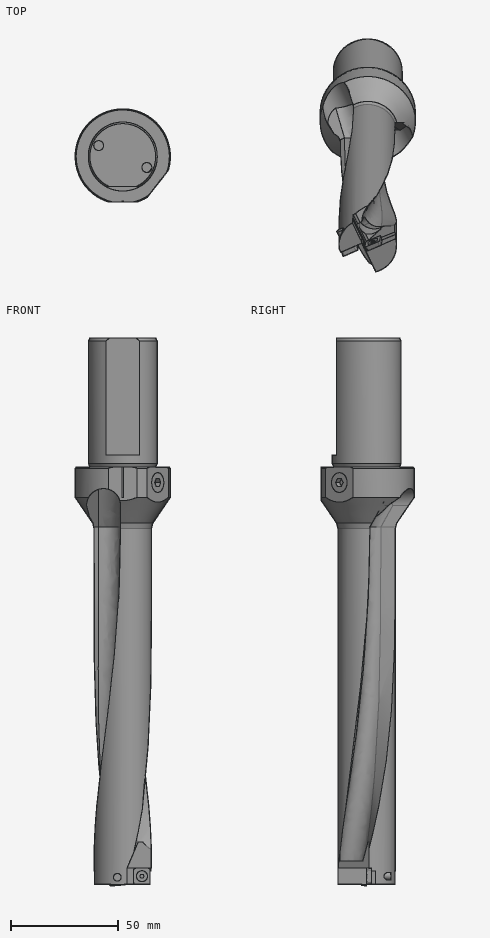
import cadquery as cq
import math


total_length = 255.0
shank_radius = 16.0
shank_chamfer_drop = 1.5
shank_chamfer_in = 0.8
shank_bottom_z = 196.7
shank_flat_y = -14.0
shank_flat_bottom_z = 200.5
undercut_radius = 15.3

collar_radius = 22.2
collar_top_z = 195.0
collar_edge_chamfer = 0.5
cone_top_z = 181.0
cone_bottom_z = 169.0
cone_bottom_radius = 14.0
neck_z = 166.3
marked_flat_distance = 21.2
mark_width = 0.8
mark_depth = 0.5
plug_flat_distance = 20.7
plug_angle = -38.0

coolant_radius = 2.3
coolant_x = 11.2
coolant_y = -5.0
coolant_bottom_z = 187.8

drill_diameter = 26.8
drill_radius = drill_diameter / 2
drill_bottom_z = 0.8
flute_top_z = 167.0
flute_bottom_z = 11.7
flute_total_twist = 87.0
flute_wall_offset = 1.0
flute_lip_offset = 1.5
flute_lip_thickening = 3.8
flute_trough_radius = 6.5
flute_trough_y = -6.6
flute_sections = 13
reach = 23.0

runout_radius = 8.0
runout_arch_z = 177.0
runout_rise_angle = 61.0
runout_foot_x = -14.3

insert_size = 7.7
insert_thickness = 2.3
insert_corner_radius = 0.8
insert_clearance_angle = 7.0
outer_insert_x = 9.0
outer_insert_z = drill_bottom_z + insert_size / 2
outer_insert_tilt = 0.0
inner_insert_x = 2.5
inner_insert_tilt = 5.0
inner_tilt_radians = math.radians(inner_insert_tilt)
inner_insert_z = insert_corner_radius + (insert_size / 2 - insert_corner_radius) * (
    math.cos(inner_tilt_radians) + math.sin(inner_tilt_radians)
)
inner_pocket_wall_x = inner_insert_x - insert_size / 2
inner_pocket_top_z = 22.2
inner_pocket_side_y = -8.5
inner_pocket_corner = 5.0
inner_pocket_fillet = 7.7
chip_space_foot_x = 0.0
chip_space_rim_x = 6.5
chip_space_rim_z = 20.5
outer_pocket_wall_x = 2.0
outer_pocket_shoulder_z = drill_bottom_z + insert_size
outer_pocket_top_x = 7.1
outer_pocket_top_z = 20.5
pocket_step_y = 1.0
recess_depth = 0.5
recess_y = -0.8
recess_top_z = 7.0
edge_relief_x = 12.8
edge_relief_top_z = 7.0
screw_radius = 1.8
screw_head_radius = 2.5
screw_head_height = 1.5
screw_socket_width = 2.0
screw_socket_depth = 0.8
screw_length = 11.2

plug_radius = 4.5
plug_length = 6.6
plug_z = 187.8
plug_socket_width = 4.3
plug_socket_depth = 3.0

half_turn = 180


def turned(shape, angle):
    """Rotate a shape about the drill axis."""
    return shape.rotate((0, 0, 0), (0, 0, 1), angle)


def box(x_range, y_range, z_range):
    """Axis-aligned box between the given limits."""
    sizes = [high - low for low, high in (x_range, y_range, z_range)]
    corner = (x_range[0], y_range[0], z_range[0])
    return cq.Workplane("XY").box(*sizes, centered=False).translate(corner)


def round_blank():
    """Shank, undercut, collar, cone and drill section as one turned shape."""
    profile = [
        (0, drill_bottom_z),
        (drill_radius, drill_bottom_z),
        (drill_radius, neck_z),
        (cone_bottom_radius, cone_bottom_z),
        (collar_radius, cone_top_z),
        (collar_radius, collar_top_z - collar_edge_chamfer),
        (collar_radius - collar_edge_chamfer, collar_top_z),
        (undercut_radius, collar_top_z),
        (shank_radius, shank_bottom_z),
        (shank_radius, total_length - shank_chamfer_drop),
        (shank_radius - shank_chamfer_in, total_length),
        (0, total_length),
    ]
    return cq.Workplane("XZ").polyline(profile).close().revolve(360, (0, 0), (0, 1))


def shank_flat():
    return box((-reach, reach), (-reach, shank_flat_y), (shank_flat_bottom_z, total_length))


def collar_flat(distance, angle):
    """Material outside a flat whose normal points at the given angle from +X."""
    flat = box((distance, 2 * reach), (-reach, reach), (neck_z, collar_top_z))
    return turned(flat, angle)


def collar_mark():
    """Fine groove down the middle of the front collar flat."""
    half = mark_width / 2
    bottom_y = -marked_flat_distance + mark_depth
    return box((-half, half), (-reach, bottom_y), (cone_top_z, collar_top_z))


def coolant_holes():
    return (
        cq.Workplane("XY", origin=(0, 0, coolant_bottom_z))
        .pushPoints([(coolant_x, coolant_y), (-coolant_x, -coolant_y)])
        .circle(coolant_radius)
        .extrude(total_length - coolant_bottom_z)
    )


def flute_outline(plane, lip_y):
    """Flat wall running into a round trough that rises to a lip near the rim."""
    wall_x = -flute_wall_offset
    trough_x = wall_x - flute_trough_radius
    trough_bottom = (trough_x, flute_trough_y + flute_trough_radius)
    lip_x = trough_x - math.sqrt(flute_trough_radius**2 - (lip_y - flute_trough_y) ** 2)
    return (
        plane.moveTo(wall_x, -reach)
        .lineTo(wall_x, flute_trough_y)
        .threePointArc(trough_bottom, (lip_x, lip_y))
        .lineTo(-reach, lip_y)
        .lineTo(-reach, -reach)
        .close()
    )


def flute():
    """Flute whose twist grows with the square of the depth; its lip thickens near the tip."""
    wires = []
    for index in range(flute_sections):
        depth = index / (flute_sections - 1)
        z = flute_top_z + depth * (flute_bottom_z - flute_top_z)
        lip_y = -flute_lip_offset - flute_lip_thickening * depth**4
        plane = cq.Workplane("XY", origin=(0, 0, z))
        outline = flute_outline(plane, lip_y)
        wires.append(turned(outline.val(), -flute_total_twist * depth**2))
    return cq.Workplane(cq.Solid.makeLoft(wires))


def flute_runout():
    """Arched slot that carries the flute section outward and up through the cone."""
    right_x = -flute_wall_offset
    left_x = right_x - 2 * runout_radius
    arch_top = (right_x - runout_radius, runout_arch_z + runout_radius)
    slot = (
        cq.Workplane("XZ")
        .moveTo(right_x, flute_top_z)
        .lineTo(right_x, runout_arch_z)
        .threePointArc(arch_top, (left_x, runout_arch_z))
        .lineTo(runout_foot_x, flute_top_z)
        .close()
        .extrude(reach)
    )
    plane = cq.Workplane("XY", origin=(0, 0, flute_top_z))
    flute_end = flute_outline(plane, -flute_lip_offset).val()
    rise = cq.Vector(0, -reach, reach * math.tan(math.radians(runout_rise_angle)))
    trough = cq.Solid.extrudeLinear(flute_end, [], rise)
    return slot.intersect(cq.Workplane(trough))


def tilted(shape, x, z, tilt):
    """Rotate a shape about the line through (x, z) that runs along Y."""
    return shape.rotate((x, 0, z), (x, 1, z), tilt)


def insert_seat(x, z, tilt):
    """Square-cornered seat around an insert, open at the rim and at the tip."""
    half = insert_size / 2
    seat = box((x - half, reach), (-reach, insert_thickness), (z - insert_size, z + half))
    return tilted(seat, x, z, tilt)


def outer_pocket():
    """Pocket of the outer insert, which faces -Y on the +X side."""
    outline = [
        (outer_pocket_wall_x, 0),
        (outer_pocket_wall_x, outer_pocket_shoulder_z),
        (outer_pocket_top_x, outer_pocket_top_z),
        (reach, outer_pocket_top_z),
        (reach, 0),
    ]
    clearance = (
        cq.Workplane("XZ", origin=(0, pocket_step_y, 0))
        .polyline(outline)
        .close()
        .extrude(reach)
    )
    corner_clearance = box(
        (outer_pocket_wall_x, outer_insert_x), (-reach, insert_thickness), (0, outer_pocket_shoulder_z)
    )
    seat = insert_seat(outer_insert_x, outer_insert_z, outer_insert_tilt)
    relief = box((edge_relief_x, reach), (-reach, reach), (0, edge_relief_top_z))
    return clearance.union(corner_clearance).union(seat).union(relief)


def inner_pocket():
    """Pocket of the inner insert, laid out facing -Y, before its half turn."""
    clearance = (
        box((inner_pocket_wall_x, reach), (inner_pocket_side_y, pocket_step_y), (0, inner_pocket_top_z))
        .edges("|X and >Z and <Y")
        .fillet(inner_pocket_corner)
        .edges("|Z and <X and >Y")
        .fillet(inner_pocket_fillet)
    )
    chip_outline = [
        (inner_pocket_wall_x, 0),
        (inner_pocket_wall_x, flute_bottom_z),
        (chip_space_foot_x, flute_bottom_z),
        (chip_space_rim_x, chip_space_rim_z),
        (reach, chip_space_rim_z),
        (reach, 0),
    ]
    chip_space = (
        cq.Workplane("XZ", origin=(0, pocket_step_y, 0))
        .polyline(chip_outline)
        .close()
        .extrude(2 * reach)
    )
    seat = insert_seat(inner_insert_x, inner_insert_z, inner_insert_tilt)
    recess = box(
        (inner_pocket_wall_x - recess_depth, reach), (-reach, recess_y), (0, recess_top_z)
    )
    return clearance.union(chip_space).union(seat).union(recess)


def insert_at(x, z, tilt):
    """Square insert facing -Y with its cutting face at y = 0."""
    blank = (
        cq.Workplane("XZ", origin=(x, 0, z))
        .rect(insert_size, insert_size)
        .extrude(-insert_thickness, taper=insert_clearance_angle)
        .edges("not(#Y)")
        .edges("not(|X or |Z)")
        .fillet(insert_corner_radius)
    )
    return tilted(blank, x, z, tilt).cut(screw_blank(x, z))


def screw_blank(x, z):
    """Countersunk head and straight shank, running into the body along +Y."""
    profile = [
        (0, 0),
        (screw_head_radius, 0),
        (screw_radius, screw_head_height),
        (screw_radius, screw_length),
        (0, screw_length),
    ]
    screw = cq.Workplane("XY").polyline(profile).close().revolve(360, (0, 0), (0, 1))
    return screw.translate((x, 0, z))


def insert_screw_at(x, z):
    socket = (
        cq.Workplane("XZ", origin=(x, 0, z))
        .polygon(6, screw_socket_width)
        .extrude(-screw_socket_depth)
    )
    return screw_blank(x, z).cut(socket)


def screw_hole_at(x, z):
    """Hole for an insert screw, open at the outside of the drill."""
    return cq.Workplane("XZ", origin=(x, 0, z)).circle(screw_radius).extrude(-reach)


def plug_blank():
    inner_end = plug_flat_distance - plug_length
    plug = cq.Workplane("YZ", origin=(inner_end, 0, plug_z)).circle(plug_radius).extrude(plug_length)
    return turned(plug, plug_angle)


def plug_screw():
    """Plug flush with its collar flat, with a hexagon socket."""
    socket = (
        cq.Workplane("YZ", origin=(plug_flat_distance, 0, plug_z))
        .polygon(6, plug_socket_width)
        .extrude(-plug_socket_depth)
    )
    return plug_blank().cut(turned(socket, plug_angle))


def drill_body():
    body = round_blank()
    body = body.cut(shank_flat())
    body = body.cut(collar_flat(marked_flat_distance, -90))
    body = body.cut(collar_flat(plug_flat_distance, plug_angle))
    body = body.cut(collar_mark())
    body = body.cut(coolant_holes())
    body = body.cut(plug_blank())
    for angle in (0, half_turn):
        body = body.cut(turned(flute(), angle))
        body = body.cut(turned(flute_runout(), angle))
    body = body.cut(outer_pocket())
    body = body.cut(turned(inner_pocket(), half_turn))
    for x, z, tilt, angle in insert_places:
        body = body.cut(turned(screw_hole_at(x, z), angle))
    return body


insert_places = [
    (outer_insert_x, outer_insert_z, outer_insert_tilt, 0),
    (inner_insert_x, inner_insert_z, inner_insert_tilt, half_turn),
]

body = drill_body()
plug = plug_screw()
inserts = []
insert_screws = []
for x, z, tilt, angle in insert_places:
    inserts.append(turned(insert_at(x, z, tilt), angle).val())
    insert_screws.append(turned(insert_screw_at(x, z), angle).val())

result = cq.Compound.makeCompound([body.val(), plug.val(), *inserts, *insert_screws])